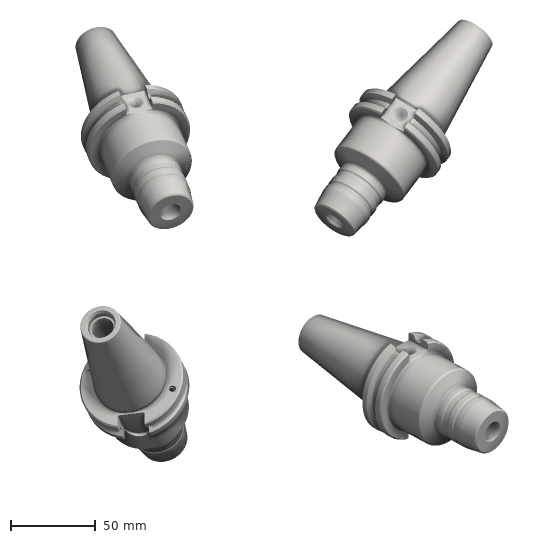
import cadquery as cq
import math

AXIS_START = (0, 0, 0)
AXIS_END = (1, 0, 0)

GAUGE_DIAMETER = 44.5
TAPER_LENGTH = 68.1
TAPER_RATE = 7 / 24
SMALL_END_DIAMETER = GAUGE_DIAMETER - TAPER_LENGTH * TAPER_RATE
SMALL_END_FILLET = 0.7

NECK_DIAMETER = 43.6
NECK_CHAMFER_LENGTH = 1.0
NECK_FILLET = 0.7

FLANGE_DIAMETER = 63.2
FLANGE_START = 71.3
FLANGE_WIDTH = 15.9
FLANGE_END = FLANGE_START + FLANGE_WIDTH
FLANGE_CHAMFER = 0.9
GROOVE_CENTER = 79.1
GROOVE_MOUTH_WIDTH = 7.1
GROOVE_FLOOR_WIDTH = 3.5
GROOVE_FLOOR_DIAMETER = 56.5
GROOVE_FLANK_ANGLE = 30

BODY_DIAMETER = 49.5
BODY_ROOT_FILLET = 1.2
BODY_END = 112.0
SHOULDER_ANGLE = 60
SHOULDER_FILLET = 1.6
NOZZLE_DIAMETER = 32.0
TOTAL_LENGTH = 148.8
TIP_TAPER_START = 137.1
TIP_DIAMETER = 28.3
TIP_CHAMFER = 0.7

BAND_DIAMETER = 31.0
BANDS = [(121.8, 127.2, 0.9, 0.9), (130.9, 133.9, 0.9, 0.3)]

SLOT_WIDTH = 16.4
SLOT_FLOOR_FILLET = 0.6
TOP_SLOT_FLOOR = 25.0
BOTTOM_SLOT_FLOOR = 22.6
DIMPLE_DIAMETER = 9.5
DIMPLE_ANGLE = 118

RECESS_MOUTH_DIAMETER = 18.5
RECESS_DIAMETER = 16.4
RECESS_CONE_DEPTH = 1.8
RECESS_DEPTH = 5.0
STUD_HOLE_DIAMETER = 13.4
STUD_HOLE_END = 32.0
STUD_CONE_ANGLE = 118
STUD_CONE_END_DIAMETER = 10.1
THROUGH_DIAMETER = 9.5
TOOL_BORE_DIAMETER = 12.0
TOOL_BORE_DEPTH = 46.1
TOOL_BORE_CHAMFER = 0.5

COOLANT_CIRCLE_RADIUS = 26.9
COOLANT_ANGLE = 20
COOLANT_DIAMETER = 4.0
COOLANT_DEPTH = 2.8
COOLANT_SLOPE = 25
CHANNEL_DIAMETER = 3.3

EDGE_PICK_MARGIN = 0.01


def round_corner(solid, x, radius, fillet):
    """Fillet the circular edge of the given radius that lies at x on the axis."""
    reach = radius + EDGE_PICK_MARGIN
    edge_box = cq.selectors.BoxSelector(
        (x - EDGE_PICK_MARGIN, -reach, -reach), (x + EDGE_PICK_MARGIN, reach, reach), boundingbox=True
    )
    return solid.edges(edge_box).fillet(fillet)


def make_turned_body():
    """Revolve the outer half-section about the X axis, then round its turned corners."""
    neck_radius = NECK_DIAMETER / 2
    flange_radius = FLANGE_DIAMETER / 2
    body_radius = BODY_DIAMETER / 2
    nozzle_radius = NOZZLE_DIAMETER / 2
    shoulder_end = BODY_END + (body_radius - nozzle_radius) / math.tan(math.radians(SHOULDER_ANGLE))

    groove_radius = GROOVE_FLOOR_DIAMETER / 2
    mouth = GROOVE_MOUTH_WIDTH / 2
    floor = GROOVE_FLOOR_WIDTH / 2
    flank_radius = flange_radius - (mouth - floor) / math.tan(math.radians(GROOVE_FLANK_ANGLE))

    outline = [
        (0, 0),
        (0, SMALL_END_DIAMETER / 2),
        (TAPER_LENGTH, GAUGE_DIAMETER / 2),
        (TAPER_LENGTH + NECK_CHAMFER_LENGTH, neck_radius),
        (FLANGE_START, neck_radius),
        (FLANGE_START, flange_radius - FLANGE_CHAMFER),
        (FLANGE_START + FLANGE_CHAMFER, flange_radius),
        (GROOVE_CENTER - mouth, flange_radius),
        (GROOVE_CENTER - floor, flank_radius),
        (GROOVE_CENTER - floor, groove_radius),
        (GROOVE_CENTER + floor, groove_radius),
        (GROOVE_CENTER + floor, flank_radius),
        (GROOVE_CENTER + mouth, flange_radius),
        (FLANGE_END - FLANGE_CHAMFER, flange_radius),
        (FLANGE_END, flange_radius - FLANGE_CHAMFER),
        (FLANGE_END, body_radius),
        (BODY_END, body_radius),
        (shoulder_end, nozzle_radius),
        (TIP_TAPER_START, nozzle_radius),
        (TOTAL_LENGTH, TIP_DIAMETER / 2),
        (TOTAL_LENGTH, 0),
    ]
    body = cq.Workplane("XY").polyline(outline).close().revolve(360, AXIS_START, AXIS_END)

    body = round_corner(body, 0, SMALL_END_DIAMETER / 2, SMALL_END_FILLET)
    body = round_corner(body, FLANGE_START, neck_radius, NECK_FILLET)
    body = round_corner(body, FLANGE_END, body_radius, BODY_ROOT_FILLET)
    body = round_corner(body, BODY_END, body_radius, SHOULDER_FILLET)
    body = round_corner(body, shoulder_end, nozzle_radius, SHOULDER_FILLET)
    return body.faces(">X").edges().chamfer(TIP_CHAMFER)


def make_band(start, end, start_chamfer, end_chamfer):
    """Ring of material removed from the nozzle to leave one shallow band."""
    nozzle_radius = NOZZLE_DIAMETER / 2
    section = [
        (start, nozzle_radius),
        (start + start_chamfer, BAND_DIAMETER / 2),
        (end - end_chamfer, BAND_DIAMETER / 2),
        (end, nozzle_radius),
    ]
    return cq.Workplane("XY").polyline(section).close().revolve(360, AXIS_START, AXIS_END)


def make_slot(floor_height):
    """Upward-open drive slot across the flange, rounded where it runs out along the body."""
    straight = (
        cq.Workplane("XY", origin=(FLANGE_START + FLANGE_WIDTH / 2, 0, floor_height))
        .rect(FLANGE_WIDTH, SLOT_WIDTH)
        .extrude(FLANGE_DIAMETER / 2)
    )
    round_end = (
        cq.Workplane("XY", origin=(FLANGE_END, 0, floor_height))
        .circle(SLOT_WIDTH / 2)
        .extrude(FLANGE_DIAMETER / 2)
    )
    slot = straight.union(round_end)
    return slot.faces("<Z").edges("not <X").fillet(SLOT_FLOOR_FILLET)


def make_dimple():
    """Conical dimple in the floor of the top slot."""
    radius = DIMPLE_DIAMETER / 2
    depth = radius / math.tan(math.radians(DIMPLE_ANGLE / 2))
    mouth_center = cq.Vector(GROOVE_CENTER, 0, TOP_SLOT_FLOOR)
    return cq.Workplane(cq.Solid.makeCone(radius, 0, depth, pnt=mouth_center, dir=cq.Vector(0, 0, -1)))


def make_bore():
    """Stepped bore through the whole length."""
    recess_radius = RECESS_DIAMETER / 2
    stud_radius = STUD_HOLE_DIAMETER / 2
    through_radius = THROUGH_DIAMETER / 2
    tool_radius = TOOL_BORE_DIAMETER / 2
    cone_end_radius = STUD_CONE_END_DIAMETER / 2
    stud_cone_length = (stud_radius - cone_end_radius) / math.tan(math.radians(STUD_CONE_ANGLE / 2))
    tool_bore_start = TOTAL_LENGTH - TOOL_BORE_DEPTH
    section = [
        (0, 0),
        (0, RECESS_MOUTH_DIAMETER / 2),
        (RECESS_CONE_DEPTH, recess_radius),
        (RECESS_DEPTH, recess_radius),
        (RECESS_DEPTH, stud_radius),
        (STUD_HOLE_END, stud_radius),
        (STUD_HOLE_END + stud_cone_length, cone_end_radius),
        (STUD_HOLE_END + stud_cone_length, through_radius),
        (tool_bore_start, through_radius),
        (tool_bore_start, tool_radius),
        (TOTAL_LENGTH - TOOL_BORE_CHAMFER, tool_radius),
        (TOTAL_LENGTH, tool_radius + TOOL_BORE_CHAMFER),
        (TOTAL_LENGTH, 0),
    ]
    return cq.Workplane("XY").polyline(section).close().revolve(360, AXIS_START, AXIS_END)


def make_coolant_hole(angle):
    """Sloping hole drilled in the flange face, narrowing to a channel that meets the bore."""
    slope = math.radians(COOLANT_SLOPE)
    entry = cq.Vector(FLANGE_START, COOLANT_CIRCLE_RADIUS, 0)
    direction = cq.Vector(math.cos(slope), -math.sin(slope), 0)
    lead_in = direction * COOLANT_DIAMETER
    wide_part = cq.Solid.makeCylinder(
        COOLANT_DIAMETER / 2, COOLANT_DEPTH + COOLANT_DIAMETER, pnt=entry - lead_in, dir=direction
    )
    channel = cq.Solid.makeCylinder(
        CHANNEL_DIAMETER / 2, COOLANT_CIRCLE_RADIUS / math.sin(slope), pnt=entry, dir=direction
    )
    return cq.Workplane(wide_part).union(cq.Workplane(channel)).rotate(AXIS_START, AXIS_END, angle)


result = make_turned_body()
for band in BANDS:
    result = result.cut(make_band(*band))
result = result.cut(make_slot(TOP_SLOT_FLOOR))
result = result.cut(make_slot(BOTTOM_SLOT_FLOOR).rotate(AXIS_START, AXIS_END, 180))
result = result.cut(make_dimple())
result = result.cut(make_bore())
for side in (0, 180):
    result = result.cut(make_coolant_hole(COOLANT_ANGLE + side))